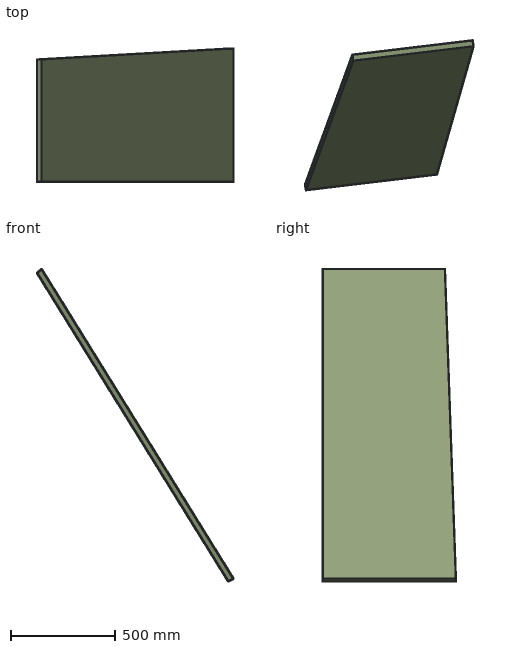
import cadquery as cq

length_x = 943.0
height = 1500.0
foot_width = 640.0
head_width = 588.0

head_cut_x = 22.0
head_cut_z = 20.0
foot_cut_x = 25.0
foot_cut_z = 13.0

head_lower = (0, height - head_cut_z)
head_upper = (head_cut_x, height)
foot_upper = (length_x, foot_cut_z)
foot_lower = (length_x - foot_cut_x, 0)


def sloping_panel():
    """Thin sloping profile extruded along +Y to the full width."""
    profile = cq.Workplane("XZ").polyline([head_lower, head_upper, foot_upper, foot_lower]).close()
    return profile.extrude(-foot_width)


def tapered_outline():
    """Prism square to the panel's faces, narrowing from the foot to the head."""
    run = foot_upper[0] - head_upper[0]
    drop = head_upper[1] - foot_upper[1]
    slope_length = (run**2 + drop**2) ** 0.5
    taper = (foot_width - head_width) / slope_length
    margin = 75.0
    upper_face = cq.Plane(
        origin=(head_upper[0], 0, head_upper[1]),
        xDir=(run, 0, -drop),
        normal=(drop, 0, run),
    )
    outline = [
        (-margin, 0),
        (slope_length + margin, 0),
        (slope_length + margin, foot_width + taper * margin),
        (-margin, head_width - taper * margin),
    ]
    return cq.Workplane(upper_face).polyline(outline).close().extrude(margin, both=True)


result = sloping_panel().intersect(tapered_outline())